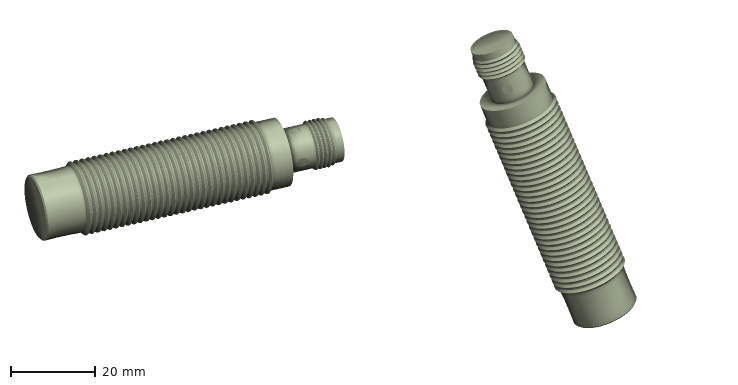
import cadquery as cq
import math

overall_length = 76.0

cap_length = 9.95
cap_radius = 8.1
cap_front_radius = 8.05
cap_waist_radius = 8.0
cap_front_chamfer = 0.4

barrel_end = 60.2
barrel_radius = 8.35
barrel_crest_radius = 18.0 / 2
barrel_crest_count = 31
barrel_first_crest = 10.7
barrel_last_crest = 56.5
barrel_pitch = (barrel_last_crest - barrel_first_crest) / (barrel_crest_count - 1)
barrel_crest_flat = 0.1
barrel_flank = 0.5

ring_end = 62.0

connector_radius = 5.4
connector_crest_radius = 6.0
connector_pitch = 1.1
connector_crest_count = 4
connector_first_crest = 69.4
connector_crest_flat = 0.1
connector_flank = 0.45
lead_crest_radius = 5.8

window_count = 4
window_y = 65.5
window_radius = 2.5 / 2
window_depth = 0.75
window_face_radius = math.sqrt(connector_radius**2 - window_radius**2)


def crest_points(center_y, root_radius, crest_radius, crest_flat, flank):
    """Return the (radius, y) corners of one thread ridge, front to rear."""
    half_crest = crest_flat / 2
    half_root = half_crest + flank
    return [
        (root_radius, center_y - half_root),
        (crest_radius, center_y - half_crest),
        (crest_radius, center_y + half_crest),
        (root_radius, center_y + half_root),
    ]


def revolve_about_y(profile):
    """Turn a closed XY profile into a solid of revolution about the Y axis."""
    return profile.revolve(360, (0, 0, 0), (0, 1, 0))


def make_front_cap():
    """Solid cap with a slightly concave side and a chamfered front edge."""
    side_start = cap_front_chamfer
    side_middle = (side_start + cap_length) / 2
    profile = (
        cq.Workplane("XY")
        .lineTo(cap_front_radius - cap_front_chamfer, 0)
        .lineTo(cap_front_radius, side_start)
        .threePointArc((cap_waist_radius, side_middle), (cap_radius, cap_length))
        .lineTo(0, cap_length)
        .close()
    )
    return revolve_about_y(profile)


def make_barrel():
    """Barrel with ring-shaped thread ridges; the first flank runs down to the cap."""
    points = [(0, cap_length), (cap_radius, cap_length)]
    for index in range(barrel_crest_count):
        crest_y = barrel_first_crest + index * barrel_pitch
        ridge = crest_points(
            crest_y, barrel_radius, barrel_crest_radius, barrel_crest_flat, barrel_flank
        )
        points += ridge if index else ridge[1:]
    points += [(barrel_radius, barrel_end), (0, barrel_end)]
    return revolve_about_y(cq.Workplane("XY").polyline(points).close())


def make_ring():
    """Plain disc that closes the rear of the barrel."""
    profile = cq.Workplane("XY").moveTo(0, barrel_end).lineTo(barrel_radius, barrel_end)
    profile = profile.lineTo(barrel_radius, ring_end).lineTo(0, ring_end).close()
    return revolve_about_y(profile)


def place_around_axis(body, index):
    """Turn a body about the Y axis to the place of the given window."""
    return body.rotate((0, 0, 0), (0, 1, 0), index * 360 / window_count)


def make_window(outer_radius, index):
    """Radial disc from the pocket floor out to the given distance from the axis."""
    floor_radius = window_face_radius - window_depth
    disc = (
        cq.Workplane("XY", origin=(0, window_y, floor_radius))
        .circle(window_radius)
        .extrude(outer_radius - floor_radius)
    )
    return place_around_axis(disc, index)


def make_connector():
    """Connector with a low lead ridge, full thread ridges and pockets for the windows."""
    points = [(0, ring_end), (connector_radius, ring_end)]
    for index in range(connector_crest_count + 1):
        crest_y = connector_first_crest + index * connector_pitch
        is_lead = index == connector_crest_count
        crest_radius = lead_crest_radius if is_lead else connector_crest_radius
        points += crest_points(
            crest_y, connector_radius, crest_radius, connector_crest_flat, connector_flank
        )
    points += [(connector_radius, overall_length), (0, overall_length)]
    connector = revolve_about_y(cq.Workplane("XY").polyline(points).close())
    for index in range(window_count):
        connector = connector.cut(make_window(connector_crest_radius, index))
    return connector


front_cap = make_front_cap()
barrel = make_barrel()
ring = make_ring()
connector = make_connector()
windows = [make_window(window_face_radius, index) for index in range(window_count)]

result = cq.Compound.makeCompound(
    [
        front_cap.val(),
        barrel.val(),
        ring.val(),
        connector.val(),
        *[window.val() for window in windows],
    ]
)